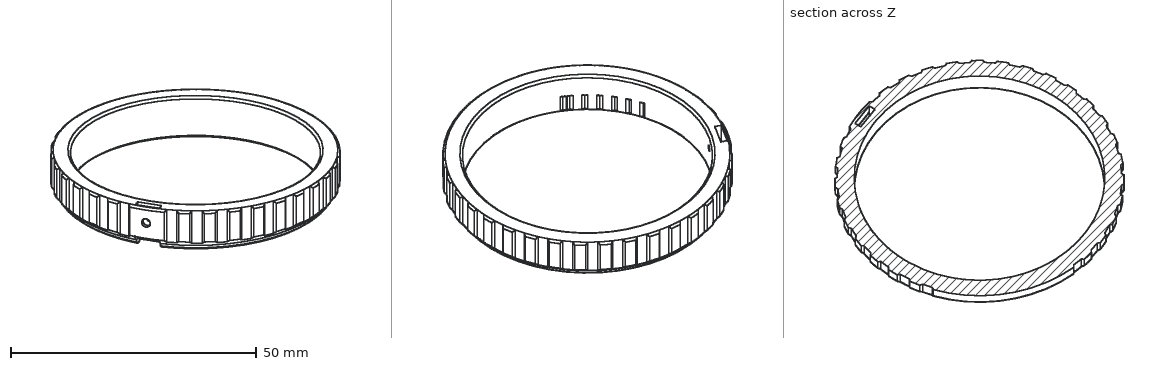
import cadquery as cq

height = 9.3
outer_radius = 29.5
valley_radius = 29.0
bore_radius = 25.5
counterbore_radius = 26.2
counterbore_depth = 0.6
top_chamfer_radius = 26.0

grip_bottom = 2.5
neck_radius = 28.1
neck_bottom = 0.55
bottom_radius = 27.45
neck_top = grip_bottom - (outer_radius - neck_radius)

wide_pad_angle = -62.4
valley_pitch = 10.17
first_valley = -19
last_valley = 10
valley_floor_width = 2.1
valley_mouth_width = 3.05

slot_angle = -62.7
slot_length = 5.15
slot_inner = 27.3
slot_outer = 28.7
relief_top = neck_top
relief_inner = 25.95
relief_bottom = 0.4
hole_diameter = 1.8
pin_diameter = 1.2
hole_height = 5.95

row_start_angle = 21.7
row_pitch = 6.8
row_count = 6
single_groove_angle = 24.9
groove_width = 1.2
groove_depth = 0.4
groove_top = 4.25

overlap = 0.6


def turned(points):
    """Solid of revolution about Z from (radius, height) points."""
    return cq.Workplane("XZ").polyline(points).close().revolve(360, (0, 0), (0, 1))


def at_angle(solid, angle):
    """Turn a solid made on the +X axis to its place around the ring."""
    return solid.rotate((0, 0, 0), (0, 0, 1), angle)


def ring_section(grip_points):
    """Half section of the ring with the given points at its upper outside corner."""
    return [
        (bore_radius, counterbore_depth),
        (counterbore_radius, counterbore_depth),
        (counterbore_radius, 0),
        (bottom_radius, 0),
        (neck_radius, neck_bottom),
        (neck_radius, neck_top),
        *grip_points,
        (top_chamfer_radius, height),
        (bore_radius, height - (top_chamfer_radius - bore_radius)),
    ]


def make_core():
    """Ring without the grip pads."""
    valley_bottom = neck_top + valley_radius - neck_radius
    return turned(ring_section([(valley_radius, valley_bottom), (valley_radius, height)]))


def make_grip():
    """Ring out to the pad faces, with the tapered valleys cut between the pads."""
    grip = turned(ring_section([
        (outer_radius, grip_bottom),
        (outer_radius, height - (outer_radius - valley_radius)),
        (valley_radius, height),
    ]))
    slope = (valley_mouth_width - valley_floor_width) / 2 / (outer_radius - valley_radius)
    inner = valley_radius - overlap
    outer = outer_radius + overlap
    half_in = valley_floor_width / 2 - overlap * slope
    half_out = valley_mouth_width / 2 + overlap * slope
    valley = (
        cq.Workplane("XY")
        .polyline([(inner, -half_in), (outer, -half_out), (outer, half_out), (inner, half_in)])
        .close()
        .extrude(height)
    )
    for index in range(first_valley, last_valley + 1):
        if index != 0:
            grip = grip.cut(at_angle(valley, wide_pad_angle + index * valley_pitch))
    return grip


def radial_hole(diameter, start_radius, end_radius):
    """Round cutter along the +X radius."""
    return (
        cq.Workplane("YZ", origin=(start_radius, 0, hole_height))
        .circle(diameter / 2)
        .extrude(end_radius - start_radius)
    )


def make_slot():
    """Upright slot, open below the wide pad and into the counterbore, with its stepped hole."""
    section = [
        (slot_outer, height), (slot_inner, height), (slot_inner, relief_top),
        (relief_inner, relief_bottom), (relief_inner, 0),
        (outer_radius + overlap, 0), (outer_radius + overlap, grip_bottom), (slot_outer, grip_bottom),
    ]
    slot = cq.Workplane("XZ").polyline(section).close().extrude(slot_length / 2, both=True)
    pin_hole = radial_hole(pin_diameter, bore_radius - overlap, slot_inner)
    outer_hole = radial_hole(hole_diameter, slot_inner, outer_radius + overlap)
    return at_angle(slot.union(pin_hole).union(outer_hole), slot_angle)


def make_groove():
    """V-groove in the bore wall, open at the counterbore."""
    return (
        cq.Workplane("XY", origin=(bore_radius, 0, counterbore_depth))
        .polyline([(-groove_depth, -groove_width), (groove_depth, 0), (-groove_depth, groove_width)])
        .close()
        .extrude(groove_top - counterbore_depth)
    )


result = make_core().union(make_grip()).cut(make_slot())
row_angles = [row_start_angle - row_pitch * step for step in range(row_count)]
for angle in [single_groove_angle, *row_angles]:
    result = result.cut(at_angle(make_groove(), angle))